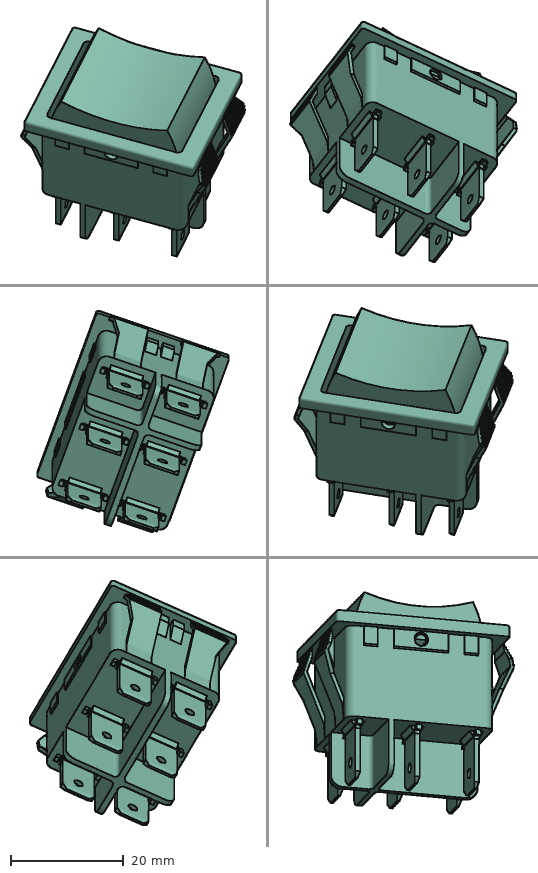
import cadquery as cq


flange_length = 32.1
flange_width = 25.0
flange_thickness = 2.25
flange_round = 0.52

body_length = 27.15
body_width = 21.63
body_height = 16.87
body_corner_radius = 1.58

rocker_width = 19.05
rocker_tip_half_length = 10.05
rocker_tip_height = 6.82
rocker_dish_height = 5.15
rocker_flank_half_length = 11.38
rocker_flank_height = 3.45
rocker_base_half_length = 12.32
rocker_base_depth = 3.68

pivot_depth = 1.5
pivot_pin_diameter = 2.0
pivot_hole_diameter = 2.5

pocket_length = 25.55
pocket_width = 19.8
pocket_corner_radius = 0.88
pocket_floor_clearance = pocket_length / 2 - rocker_base_half_length
pocket_depth = rocker_base_depth + pocket_floor_clearance

pad_height = 3.55
pad_protrusion = 0.28
pivot_pad_length = 10.1
side_pad_length = 2.55
side_pad_offset = 9.3

rib_width = 2.15
rib_offset = 1.5
rib_protrusion = 1.15
rib_straight_height = 2.0
rib_height = 5.32

clip_top = -0.2
clip_inner_side = 3.32
clip_top_outer_side = 8.5
clip_widest_side = 10.35
clip_widest_z = -3.43
clip_stem_outer_side = 8.33
clip_stem_z = -8.47
clip_full_reach = 17.5
clip_tip_thickness = 0.25
step_count = 8
step_height = 0.6
step_reach = 0.195
clip_foot_reach = 13.82
clip_foot_z = -13.93
clip_knee_reach = 16.85
clip_knee_z = -4.62
clip_tip_straight_z = -1.9
clip_root_z = -12.65

partition_depth = 9.95
lengthwise_thickness = 1.15
crosswise_thickness = 1.0
partition_corner_radius = 2.0
partition_join_radius = 0.85
cross_partition_x = -5.45

blade_pitch_x = 11.0
blade_offset_y = 5.42
blade_thickness = 0.95
blade_width = 6.3
blade_bottom = -27.25
blade_tip_height = 0.98
blade_tip_width = 4.55
blade_tip_thickness = 0.42
blade_hole_diameter = 1.7
blade_hole_z = -23.85

barb_root_half_width = 3.25
barb_root_depth = 1.47
barb_notch_depth = 0.25
barb_notch_half_width = 3.57
barb_depth = 1.05
barb_inner_half_width = 3.78
barb_outer_half_width = 4.55
barb_top_half_width = 4.2
boss_root_half_thickness = 1.25
boss_end_half_thickness = 0.6
boss_length = 6.1
boss_depth = 0.98

embed = 0.28


def block(length, width, bottom, top):
    """Box centred on the Z axis between two heights."""
    return cq.Workplane("XY").workplane(offset=bottom).rect(length, width).extrude(top - bottom)


def make_flange():
    flange = block(flange_length, flange_width, 0, flange_thickness)
    return flange.edges("|Z or >Z").fillet(flange_round)


def make_body():
    return block(body_length, body_width, -body_height, 0).edges("|Z").fillet(body_corner_radius)


def make_pocket():
    pocket = block(pocket_length, pocket_width, -pocket_depth, flange_thickness)
    return pocket.edges("|Z").fillet(pocket_corner_radius)


def make_pad(length, x, side):
    """Raised pad with a 45 degree lower edge, on the +Y (side = 1) or -Y (side = -1) face."""
    face = side * body_width / 2
    outer = face + side * pad_protrusion
    inner = face - side * embed
    return (
        cq.Workplane("YZ", origin=(x - length / 2, 0, 0))
        .polyline([(inner, 0), (outer, 0), (outer, pad_protrusion - pad_height),
                   (face, -pad_height), (inner, -pad_height)])
        .close()
        .extrude(length)
    )


def make_rib(side, y):
    """Wedge rib that fades out downward on the +X or -X face."""
    face = side * body_length / 2
    outer = face + side * rib_protrusion
    inner = face - side * embed
    return (
        cq.Workplane("XZ", origin=(0, y + rib_width / 2, 0))
        .polyline([(inner, 0), (outer, 0), (outer, -rib_straight_height),
                   (face, -rib_height), (inner, -rib_height)])
        .close()
        .extrude(rib_width)
    )


def clip_profile():
    """Side profile of the +X clip: stepped upper leg, bend, and lower leg running into the body."""
    face = body_length / 2
    first_reach = clip_full_reach - (step_count - 1) * step_reach
    outer = []
    for i in range(step_count):
        reach = first_reach + i * step_reach
        top = clip_top - i * step_height
        outer.append((reach, top))
        outer.append((reach, top - step_height))

    inner_reach = first_reach - clip_tip_thickness
    foot = [(clip_foot_reach, clip_foot_z), (face, -body_height), (face - embed, -body_height)]
    inner = [(face - embed, clip_root_z), (face, clip_root_z), (clip_knee_reach, clip_knee_z),
             (inner_reach, clip_tip_straight_z), (inner_reach, clip_top)]
    return outer + foot + inner


def make_clip():
    """Clip at +X, +Y: the side profile trimmed to the clip's tapering width."""
    leaf = (
        cq.Workplane("XZ", origin=(0, clip_widest_side, 0))
        .polyline(clip_profile())
        .close()
        .extrude(clip_widest_side)
    )
    width_outline = (
        cq.Workplane("YZ")
        .polyline([(clip_inner_side, clip_top), (clip_top_outer_side, clip_top),
                   (clip_widest_side, clip_widest_z), (clip_stem_outer_side, clip_stem_z),
                   (clip_stem_outer_side, -body_height), (clip_inner_side, -body_height)])
        .close()
        .extrude(clip_full_reach)
    )
    return leaf.intersect(width_outline)


def make_partitions():
    """Two crossing plates under the body, rounded at their lower ends and in the inner corners."""
    bottom = -body_height - partition_depth
    lengthwise = block(body_length, lengthwise_thickness, bottom, -body_height)
    lengthwise = lengthwise.edges("|Y and <Z").fillet(partition_corner_radius)
    crosswise = block(crosswise_thickness, body_width, bottom, -body_height)
    crosswise = crosswise.edges("|X and <Z").fillet(partition_corner_radius)
    plates = lengthwise.union(crosswise.translate((cross_partition_x, 0, 0)))
    near = lengthwise_thickness
    inner_corners = cq.selectors.BoxSelector(
        (cross_partition_x - near, -near, bottom), (cross_partition_x + near, near, -body_height)
    )
    return plates.edges("|Z").edges(inner_corners).fillet(partition_join_radius)


def make_terminal():
    """Terminal blade with its barbs and root boss, centred on X = Y = 0."""
    root = -body_height
    tip_top = blade_bottom + blade_tip_height
    blade = block(blade_thickness, blade_width, tip_top, root)
    tip = (
        cq.Workplane("XY").workplane(offset=tip_top).rect(blade_thickness, blade_width)
        .workplane(offset=-blade_tip_height).rect(blade_tip_thickness, blade_tip_width)
        .loft()
    )
    right_half = [
        (barb_root_half_width, root - barb_root_depth),
        (barb_root_half_width, root - barb_notch_depth),
        (barb_notch_half_width, root - barb_notch_depth),
        (barb_inner_half_width, root - barb_depth),
        (barb_outer_half_width, root - barb_depth),
        (barb_top_half_width, root),
    ]
    left_half = [(-y, z) for y, z in reversed(right_half)]
    barbs = (
        cq.Workplane("YZ").polyline(right_half + left_half).close()
        .extrude(blade_thickness / 2, both=True)
    )
    boss = (
        cq.Workplane("XZ")
        .polyline([(-boss_root_half_thickness, root), (boss_root_half_thickness, root),
                   (boss_end_half_thickness, root - boss_depth),
                   (-boss_end_half_thickness, root - boss_depth)])
        .close()
        .extrude(boss_length / 2, both=True)
    )
    hole = (
        cq.Workplane("YZ", origin=(-blade_thickness / 2, 0, blade_hole_z))
        .circle(blade_hole_diameter / 2).extrude(blade_thickness)
    )
    return blade.union(tip).union(barbs).union(boss).cut(hole)


def make_housing():
    housing = make_body().union(make_flange())

    for side in (1, -1):
        housing = housing.union(make_pad(pivot_pad_length, 0, side))
        for x in (side_pad_offset, -side_pad_offset):
            housing = housing.union(make_pad(side_pad_length, x, side))
        for y in (rib_offset, -rib_offset):
            housing = housing.union(make_rib(side, y))

    clip = make_clip()
    clip_pair = clip.union(clip.mirror("XZ"))
    housing = housing.union(clip_pair).union(clip_pair.mirror("YZ"))

    housing = housing.union(make_partitions())

    terminal = make_terminal()
    for x in (-blade_pitch_x, 0, blade_pitch_x):
        for y in (-blade_offset_y, blade_offset_y):
            housing = housing.union(terminal.translate((x, y, 0)))

    pivot_hole = (
        cq.Workplane("XZ", origin=(0, flange_width / 2, -pivot_depth))
        .circle(pivot_hole_diameter / 2).extrude(flange_width)
    )
    return housing.cut(make_pocket()).cut(pivot_hole)


def make_pivot_pin():
    """Full-width pivot pin whose ends are cut at 45 degrees below the axis, flush with the body."""
    half = body_width / 2
    radius = pivot_pin_diameter / 2
    pin = (
        cq.Workplane("XZ", origin=(0, half, -pivot_depth))
        .circle(radius).extrude(body_width)
    )
    side_outline = (
        cq.Workplane("YZ", origin=(0, 0, -pivot_depth))
        .polyline([(-half, radius), (half, radius), (half, 0), (half - radius, -radius),
                   (radius - half, -radius), (-half, 0)])
        .close()
        .extrude(pivot_pin_diameter, both=True)
    )
    return pin.intersect(side_outline)


def make_rocker():
    """Rocker with a dished top and bulging end faces, carrying its pivot pin."""
    button = (
        cq.Workplane("XZ")
        .moveTo(-rocker_tip_half_length, rocker_tip_height)
        .threePointArc((0, rocker_dish_height), (rocker_tip_half_length, rocker_tip_height))
        .threePointArc((rocker_flank_half_length, rocker_flank_height),
                       (rocker_base_half_length, -rocker_base_depth))
        .lineTo(-rocker_base_half_length, -rocker_base_depth)
        .threePointArc((-rocker_flank_half_length, rocker_flank_height),
                       (-rocker_tip_half_length, rocker_tip_height))
        .close()
        .extrude(rocker_width / 2, both=True)
    )
    return button.union(make_pivot_pin())


housing = make_housing()
rocker = make_rocker()

result = cq.Compound.makeCompound([*housing.solids().vals(), *rocker.solids().vals()])